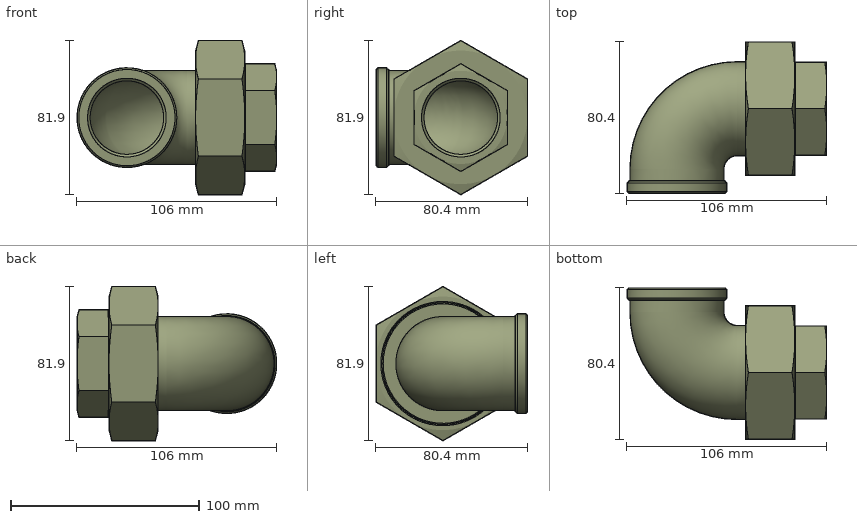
import cadquery as cq
import math

PIPE_RADIUS = 25.0
BORE_RADIUS = 19.5
BEND_RADIUS = 32.0
CAVITY_RADIUS = 22.0
BORE_LENGTH = 19.3
BORE_CHAMFER = 1.4

BEAD_RADIUS = 26.5
INLET_Y = -44.9
BEAD_LENGTH = 6.8
BEAD_CHAMFER = 1.0
BEAD_BACK_LIP = 0.3

NUT_START = 36.5
NUT_END = 62.5
TAIL_START = 62.9
TAIL_END = 79.5
NUT_ACROSS_FLATS = 70.9
TAIL_ACROSS_FLATS = 49.5
HEX_CHAMFER_ANGLE = 15.0

GROOVE_RADIUS = 32.3
GROOVE_DEPTH = 0.6


def bent_bar(radius, end_x):
    """Bent round bar: from the inlet, through a quarter turn onto the X axis, to X = end_x."""
    middle = BEND_RADIUS * (1 - math.sqrt(0.5))
    path = (
        cq.Workplane("XY")
        .moveTo(0, INLET_Y)
        .lineTo(0, -BEND_RADIUS)
        .threePointArc((middle, -middle), (BEND_RADIUS, 0))
        .lineTo(end_x, 0)
    )
    return cq.Workplane("XZ", origin=(0, INLET_Y, 0)).circle(radius).sweep(path)


def bend_cavity():
    """Wide channel through the bend and nut, cut off square where the two narrower bores begin."""
    channel = bent_bar(CAVITY_RADIUS, TAIL_END - BORE_LENGTH)
    inlet_block = (
        cq.Workplane("XZ", origin=(0, INLET_Y, 0))
        .circle(PIPE_RADIUS)
        .extrude(-BORE_LENGTH)
    )
    return channel.cut(inlet_block)


def bore(plane, origin):
    """Chamfered end bore; the plane's normal points out of the part."""
    mouth_radius = BORE_RADIUS + BORE_CHAMFER
    hole = cq.Workplane(plane, origin=origin).circle(BORE_RADIUS).extrude(-BORE_LENGTH)
    countersink = (
        cq.Workplane(plane, origin=origin)
        .circle(mouth_radius)
        .workplane(offset=-BORE_CHAMFER)
        .circle(BORE_RADIUS)
        .loft(ruled=True)
    )
    return hole.union(countersink)


def turned_about_x(profile):
    """Solid of revolution about the X axis from (x, radius) points."""
    return cq.Workplane("XY").polyline(profile).close().revolve(360, (0, 0), (1, 0))


def hexagon(start, end, across_flats, chamfer_start):
    """Hexagonal prism along X, corners toward +/-Z, its corners turned off at the end faces."""
    flat_radius = across_flats / 2
    corner_radius = flat_radius / math.cos(math.pi / 6)
    cut_depth = (corner_radius - flat_radius) * math.tan(math.radians(HEX_CHAMFER_ANGLE))
    prism = (
        cq.Workplane("YZ", origin=(start, 0, 0))
        .transformed(rotate=(0, 0, 90))
        .polygon(6, 2 * corner_radius)
        .extrude(end - start)
    )
    profile = [(start, 0)]
    if chamfer_start:
        profile += [(start, flat_radius), (start + cut_depth, corner_radius)]
    else:
        profile += [(start, corner_radius)]
    profile += [(end - cut_depth, corner_radius), (end, flat_radius), (end, 0)]
    return prism.intersect(turned_about_x(profile))


def inlet_bead():
    """Thickened rim around the inlet, chamfered at both ends, with a short straight lip behind it."""
    lip_radius = BEAD_RADIUS - BEAD_CHAMFER
    rim = (
        cq.Workplane("XZ", origin=(0, INLET_Y, 0))
        .circle(BEAD_RADIUS)
        .extrude(BEAD_BACK_LIP - BEAD_LENGTH)
        .edges()
        .chamfer(BEAD_CHAMFER)
    )
    lip = (
        cq.Workplane("XZ", origin=(0, INLET_Y, 0))
        .circle(lip_radius)
        .extrude(-BEAD_LENGTH)
    )
    return rim.union(lip)


def face_groove():
    """V-shaped ring groove marking where the nut meets the collar it holds."""
    return turned_about_x([
        (NUT_START, GROOVE_RADIUS - GROOVE_DEPTH),
        (NUT_START + GROOVE_DEPTH, GROOVE_RADIUS),
        (NUT_START, GROOVE_RADIUS + GROOVE_DEPTH),
    ])


nut = hexagon(NUT_START, NUT_END, NUT_ACROSS_FLATS, chamfer_start=True)
tail = hexagon(TAIL_START, TAIL_END, TAIL_ACROSS_FLATS, chamfer_start=False)
neck = turned_about_x([
    (NUT_END, 0),
    (NUT_END, TAIL_ACROSS_FLATS / 2),
    (TAIL_START, TAIL_ACROSS_FLATS / 2),
    (TAIL_START, 0),
])

result = (
    bent_bar(PIPE_RADIUS, NUT_START)
    .union(inlet_bead())
    .union(nut.cut(face_groove()))
    .union(neck)
    .union(tail)
    .cut(bend_cavity())
    .cut(bore("XZ", (0, INLET_Y, 0)))
    .cut(bore("YZ", (TAIL_END, 0, 0)))
)